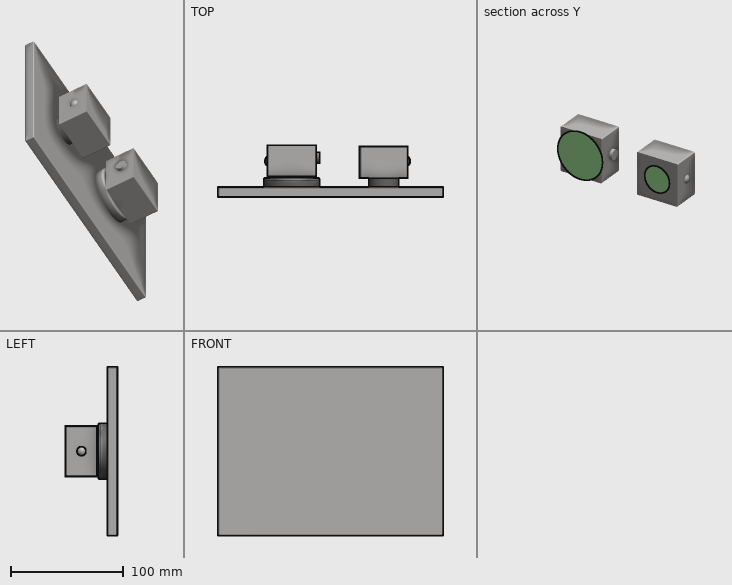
import cadquery as cq
import math

plate_width = 200.0
plate_height = 150.0
plate_thickness = 9.2
plate_edge_radius = 1.0

total_depth = 46.2
large_mount_x = -34.5
disc_diameter = 50.0
disc_height = 8.0
disc_edge_radius = 2.0
neck_diameter = 39.0
neck_height = 1.2
large_housing_width = 43.5
large_housing_height = 45.0
large_corner_radius = 1.0
button_diameter = 10.0
button_length = 3.2
button_setback = 11.2

small_mount_x = 47.2
stem_diameter = 26.8
stem_height = 7.8
small_housing_width = 43.0
small_housing_depth = 28.0
small_corner_radius = 1.0

dome_diameter = 8.0
dome_height = 2.0
dome_y = 32.0

overlap = 1.0


def cylinder_y(x, start, end, diameter):
    """Cylinder along Y, centred at Z = 0."""
    return cq.Workplane(
        cq.Solid.makeCylinder(diameter / 2, end - start, cq.Vector(x, start, 0), cq.Vector(0, 1, 0))
    )


def housing(x, start, end, width, height, corner_radius):
    """Block with rounded corners along Y."""
    block = cq.Workplane("XY").box(width, end - start, height)
    return block.edges("|Y").fillet(corner_radius).translate((x, (start + end) / 2, 0))


def dome(face_x, side):
    """Spherical cap standing on a housing side; side is +1 or -1 along X."""
    rim = dome_diameter / 2
    sphere_radius = (rim**2 + dome_height**2) / (2 * dome_height)
    arc_center_x = face_x + side * (dome_height - sphere_radius)
    arc_mid = (
        arc_center_x + side * math.sqrt(sphere_radius**2 - (rim / 2) ** 2),
        dome_y + rim / 2,
    )
    root_x = face_x - side * overlap
    profile = (
        cq.Workplane("XY")
        .moveTo(root_x, dome_y)
        .lineTo(root_x, dome_y + rim)
        .lineTo(face_x, dome_y + rim)
        .threePointArc(arc_mid, (face_x + side * dome_height, dome_y))
        .close()
    )
    return profile.revolve(360, (face_x, dome_y, 0), (face_x + 2, dome_y, 0))


def plate():
    block = cq.Workplane("XY").box(plate_width, plate_thickness, plate_height)
    return block.edges().fillet(plate_edge_radius).translate((0, plate_thickness / 2, 0))


def large_mount():
    disc_top = plate_thickness + disc_height
    housing_start = disc_top + neck_height
    disc = cylinder_y(large_mount_x, plate_thickness - overlap, disc_top, disc_diameter)
    disc = disc.edges(">Y").fillet(disc_edge_radius)
    neck = cylinder_y(large_mount_x, disc_top - overlap, housing_start + overlap, neck_diameter)
    block = housing(
        large_mount_x, housing_start, total_depth,
        large_housing_width, large_housing_height, large_corner_radius,
    )
    right_face = large_mount_x + large_housing_width / 2
    button = cq.Workplane(
        cq.Solid.makeCylinder(
            button_diameter / 2, button_length + overlap,
            cq.Vector(right_face - overlap, total_depth - button_setback, 0), cq.Vector(1, 0, 0),
        )
    )
    left_dome = dome(large_mount_x - large_housing_width / 2, -1)
    return disc.union(neck).union(block).union(button).union(left_dome)


def small_mount():
    start = plate_thickness + stem_height
    stem = cylinder_y(small_mount_x, plate_thickness - overlap, start + overlap, stem_diameter)
    block = housing(
        small_mount_x, start, start + small_housing_depth,
        small_housing_width, small_housing_width, small_corner_radius,
    )
    right_dome = dome(small_mount_x + small_housing_width / 2, 1)
    return stem.union(block).union(right_dome)


result = plate().union(large_mount()).union(small_mount())